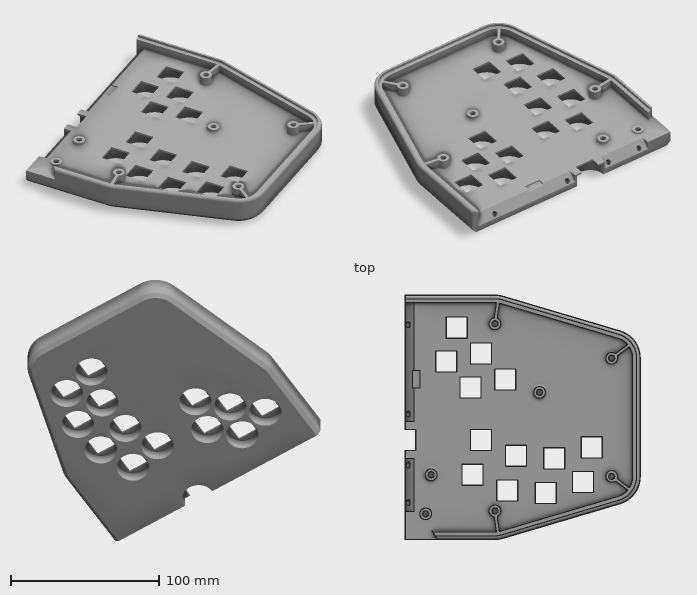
import cadquery as cq
import math

length = 158.8
width = 165.1
height = 19.0
half_width = width / 2

corner_radius = 19.3
shoulder_vertex_x = 63.4
end_vertex_y = 54.3
taper = math.atan2(half_width - end_vertex_y, length - shoulder_vertex_x)
shoulder_bisector = taper / 2
end_bisector = (taper + math.pi / 2) / 2

shoulder_center = (
    shoulder_vertex_x - corner_radius * math.tan(shoulder_bisector),
    half_width - corner_radius,
)
end_center = (
    length - corner_radius,
    end_vertex_y - corner_radius * math.tan((math.pi / 2 - taper) / 2),
)

wall_thickness = 5.1
lip_thickness = 2.5
ledge_z = 17.2
floor_z = 10.4
top_fillet = 2.0
bottom_chamfer = 3.0
chamfer_blend = 1.8
inner_fillet = 0.8

overcut = 1.7
rim_margin = 0.2

opening_outer_x = 21.6
opening_angle = math.radians(60)

key_size = 14.0
key_relief_diameter = 22.0
key_plate = 1.5
finger_key_start = (34.8, 60.6)
finger_key_step = (16.3, -17.5)
finger_row_step = (-7.1, -23.0)
thumb_key_tops = [(51.2, -15.4), (74.8, -26.0), (100.7, -27.7), (126.0, -20.3)]
thumb_row_step = (-5.8, -23.5)
edge_key = (0.0, -15.4)

screw_hole_diameter = 4.1
screw_hole_bottom_z = 4.0
post_diameter = 8.0
rib_width = 2.0
rib_fillet = 1.0
tall_boss_centers = [(17.5, -38.8), (90.8, 16.8)]
tall_boss_top_z = 14.0
tall_boss_fillet = 2.0
low_boss_center = (13.9, -65.2)
low_boss_top_z = 11.7
low_boss_fillet = 0.7

ramp_low_z = 4.3
ramp_depth = 5.8
ramp_spans = [(-2.8, half_width - wall_thickness), (-63.5, -27.9)]
ramp_hole_ys = [62.5, 2.1, -32.2, -57.6]
ramp_hole_diameter = 4.0
ramp_hole_x = 2.0
ramp_hole_depth = 5.0
ramp_angle = math.atan2(floor_z - ramp_low_z, ramp_depth)

pocket_x = (4.8, 10.0)
pocket_y = (19.8, 31.5)
pocket_depth = 1.0


def on_arc(center, radius, angle):
    """Point on an arc, with the angle measured clockwise from +Y."""
    return (center[0] + radius * math.sin(angle), center[1] + radius * math.cos(angle))


def mirrored(point):
    return (point[0], -point[1])


def outline_prism(inset, start_x, bottom_z, top_z):
    """Case outline moved inward by inset, closed by a straight edge at start_x."""
    radius = corner_radius - inset
    shoulder_start = on_arc(shoulder_center, radius, 0)
    shoulder_mid = on_arc(shoulder_center, radius, shoulder_bisector)
    shoulder_stop = on_arc(shoulder_center, radius, taper)
    end_start = on_arc(end_center, radius, taper)
    end_mid = on_arc(end_center, radius, end_bisector)
    end_stop = on_arc(end_center, radius, math.pi / 2)
    return (
        cq.Workplane("XY", origin=(0, 0, bottom_z))
        .moveTo(start_x, half_width - inset)
        .lineTo(*shoulder_start)
        .threePointArc(shoulder_mid, shoulder_stop)
        .lineTo(*end_start)
        .threePointArc(end_mid, end_stop)
        .lineTo(*mirrored(end_stop))
        .threePointArc(mirrored(end_mid), mirrored(end_start))
        .lineTo(*mirrored(shoulder_stop))
        .threePointArc(mirrored(shoulder_mid), mirrored(shoulder_start))
        .lineTo(start_x, inset - half_width)
        .close()
        .extrude(top_z - bottom_z)
    )


def box(x_range, y_range, z_range):
    size = [high - low for low, high in (x_range, y_range, z_range)]
    return cq.Workplane("XY", origin=(x_range[0], y_range[0], z_range[0])).box(*size, centered=False)


def cylinder(center, diameter, bottom_z, top_z):
    return (
        cq.Workplane("XY", origin=(*center, bottom_z))
        .circle(diameter / 2)
        .extrude(top_z - bottom_z)
    )


def outer_body():
    body = outline_prism(0, 0, 0, height)
    body = body.faces(">Z").edges("not <X").fillet(top_fillet)
    body = body.faces("<Z").edges("not <X").chamfer(bottom_chamfer)
    chamfer_rim = cq.selectors.BoxSelector(
        (rim_margin, -width, bottom_chamfer - rim_margin),
        (2 * length, width, bottom_chamfer + rim_margin),
    )
    return body.edges(chamfer_rim).fillet(chamfer_blend)


def hollow():
    """Inner space above the floor, widened above the ledge to leave a thin lip."""
    tray = outline_prism(wall_thickness, -overcut, floor_z, height + overcut)
    rebate = outline_prism(lip_thickness, -overcut, ledge_z, height + overcut)
    return tray.union(rebate)


def rib(center, angle):
    """Rib from a post out into the wall, along the angle clockwise from +Y."""
    reach = corner_radius - (wall_thickness + lip_thickness) / 2
    return (
        box((-rib_width / 2, rib_width / 2), (0, reach), (floor_z, ledge_z))
        .rotate((0, 0, 0), (0, 0, 1), -math.degrees(angle))
        .translate((*center, 0))
    )


def ribbed_post(center, angle):
    """Screw post tied to the wall by a rib, with fillets where the two meet."""
    post = cylinder(center, post_diameter, floor_z, ledge_z).union(rib(center, angle))
    rib_offset = math.asin(rib_width / post_diameter)
    for side in (-rib_offset, rib_offset):
        junction = on_arc(center, post_diameter / 2, angle + side)
        edge = cq.selectors.NearestToPointSelector((*junction, (floor_z + ledge_z) / 2))
        post = post.edges("|Z").edges(edge).fillet(rib_fillet)
    return post


def filleted_boss(center, top_z, foot_radius):
    """Round boss whose foot flares into the floor through a concave arc."""
    radius = post_diameter / 2
    diagonal = foot_radius * (1 - math.sqrt(0.5))
    return (
        cq.Workplane("XZ")
        .moveTo(0, floor_z)
        .lineTo(radius + foot_radius, floor_z)
        .threePointArc(
            (radius + diagonal, floor_z + diagonal),
            (radius, floor_z + foot_radius),
        )
        .lineTo(radius, top_z)
        .lineTo(0, top_z)
        .close()
        .revolve(360, (0, 0, 0), (0, 1, 0))
        .translate((*center, 0))
    )


def side_opening():
    """Gap in the -Y wall, ending in a slanted face."""
    run = wall_thickness + inner_fillet + overcut
    lean = run / math.tan(opening_angle)
    outside_lean = overcut / math.tan(opening_angle)
    return (
        cq.Workplane("XY", origin=(0, 0, floor_z))
        .polyline([
            (-overcut, -half_width - overcut),
            (opening_outer_x + outside_lean, -half_width - overcut),
            (opening_outer_x - lean, -half_width + run),
            (-overcut, -half_width + run),
        ])
        .close()
        .extrude(height)
    )


def key_opening(center):
    square = box(
        (center[0] - key_size / 2, center[0] + key_size / 2),
        (center[1] - key_size / 2, center[1] + key_size / 2),
        (0, floor_z + overcut),
    )
    relief = cylinder(center, key_relief_diameter, -overcut, floor_z - key_plate)
    return square.union(relief)


def moved(point, step, count=1):
    """Point shifted by a whole number of steps."""
    return (point[0] + count * step[0], point[1] + count * step[1])


def key_centers():
    """Two finger rows, two thumb rows and the half opening on the open edge."""
    upper = [moved(finger_key_start, finger_key_step, i) for i in range(3)]
    lower = [moved(key, finger_row_step) for key in upper[:2]]
    thumb_lower = [moved(key, thumb_row_step) for key in thumb_key_tops]
    return upper + lower + thumb_key_tops + thumb_lower + [edge_key]


def ramp(y_range):
    """Wedge removed from the open edge, running from ramp_low_z up past the floor."""
    rise = (floor_z - ramp_low_z) / ramp_depth
    crest_x = ramp_depth + inner_fillet / rise
    return (
        cq.Workplane("XZ", origin=(0, y_range[1], 0))
        .polyline([
            (-overcut, ramp_low_z - rise * overcut),
            (crest_x, floor_z + inner_fillet),
            (-overcut, floor_z + inner_fillet),
        ])
        .close()
        .extrude(y_range[1] - y_range[0])
    )


def ramp_hole(y):
    into_slope = cq.Vector(math.sin(ramp_angle), 0, -math.cos(ramp_angle))
    mouth = cq.Vector(ramp_hole_x, y, ramp_low_z + ramp_hole_x * math.tan(ramp_angle))
    start = mouth - into_slope * overcut
    return cq.Workplane(
        cq.Solid.makeCylinder(ramp_hole_diameter / 2, ramp_hole_depth + overcut, start, into_slope)
    )


posts = ribbed_post(shoulder_center, shoulder_bisector)
posts = posts.union(ribbed_post(end_center, end_bisector))
case = outer_body().cut(hollow()).union(posts).union(posts.mirror("XZ"))

floor_face = cq.selectors.NearestToPointSelector((length / 2, 0, floor_z))
case = case.faces(floor_face).edges("not <X").fillet(inner_fillet)

for boss_center in tall_boss_centers:
    case = case.union(filleted_boss(boss_center, tall_boss_top_z, tall_boss_fillet))
case = case.cut(side_opening())
case = case.union(filleted_boss(low_boss_center, low_boss_top_z, low_boss_fillet))

post_centers = [shoulder_center, end_center, mirrored(shoulder_center), mirrored(end_center)]
for hole_center in post_centers + tall_boss_centers + [low_boss_center]:
    case = case.cut(cylinder(hole_center, screw_hole_diameter, screw_hole_bottom_z, height))

for key_center in key_centers():
    case = case.cut(key_opening(key_center))

for span in ramp_spans:
    case = case.cut(ramp(span))
for hole_y in ramp_hole_ys:
    case = case.cut(ramp_hole(hole_y))
case = case.cut(box(pocket_x, pocket_y, (floor_z - pocket_depth, floor_z + overcut)))

result = case